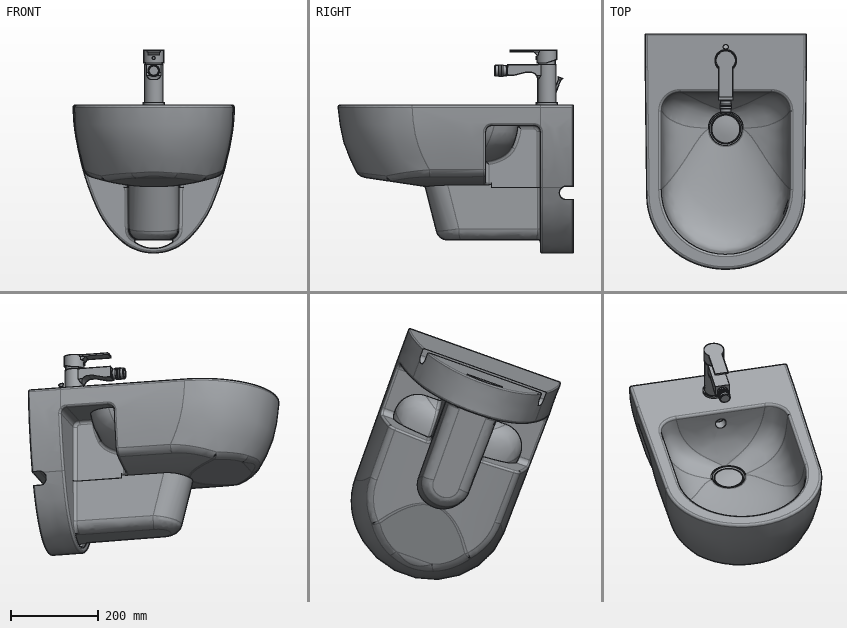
import cadquery as cq
import math


HALF_WIDTH = 184.58
REACH = 539.8
CUT_MARGIN = 20.0
RIM_Z = 339.6
SEAM_Z = 150.0
FRONT_LENGTH = 170.0
SIDE_TAPER = 0.982
BASIN_SECTIONS = [
    (RIM_Z, HALF_WIDTH, REACH),
    (290.0, 182.2, 535.7),
    (245.0, 174.8, 525.0),
    (200.0, 164.5, 505.0),
    (SEAM_Z, 149.0, 475.0),
]
RIM_FILLET = 6.0
WALL_EDGE_FILLET = 3.0

UNDERSIDE_Z = 152.0
UNDERSIDE_EDGE_Z = 182.0
UNDERSIDE_HALF_WIDTH = 165.0
UNDERSIDE_START = 188.0
SLOPE_START = 336.0
SLOPE_END = 470.0
SLOPE_END_Z = 172.0
TIP_CORNER = (510.0, 202.0)
TIP_BEND = (494.0, 181.0)
UNDERSIDE_FILLET = 24.0

FLANGE_DEPTH = 76.0
FLANGE_FILLET = 5.0
FLANGE_OUTLINE = [(122.5, 88.0), (83.0, 36.0), (56.0, 15.0)]
SEAM_LEAN = 0.377
WINDOW_HALF_WIDTH = 43.0
WINDOW_LOW_Z = 11.0
WINDOW_CORNER_Z = 25.0
NOTCH_Z = 138.0
NOTCH_HEIGHT = 30.0
NOTCH_DEPTH = 32.0

RECESS_END = 201.0
RECESS_TOP_Z = 292.0
RECESS_CORNER = 14.0
RECESS_INNER_FILLET = 8.0
RIM_INNER_HALF_WIDTH = 162.0
RIM_LOWEST_Z = 190.0
CORE_HALF_WIDTH = 60.0
PEDESTAL_BOTTOM_Z = 30.0
PEDESTAL_TOP_Z = 180.0
PEDESTAL_OVERLAP = 10.0
PEDESTAL_END_LENGTH = 53.0
PEDESTAL_TOP_REACH = 347.0
PEDESTAL_BOTTOM_REACH = 309.0
PEDESTAL_TAPER = 0.96
PEDESTAL_TOP_HALF_WIDTH = 60.0
PEDESTAL_BOTTOM_HALF_WIDTH = 58.0
PEDESTAL_FILLET = 26.0
PEDESTAL_ROOT_FILLET = 7.0

BOWL_SECTIONS = [
    (RIM_Z, 149.0, 133.0, 507.0, 150.0, 44.0),
    (300.0, 143.0, 136.0, 500.0, 148.0, 46.0),
    (265.0, 130.0, 144.0, 480.0, 142.0, 50.0),
    (240.0, 104.0, 157.0, 424.0, 120.0, 50.0),
    (225.0, 74.0, 168.0, 348.0, 90.0, 46.0),
    (212.0, 40.0, 178.0, 258.0, 40.0, 38.0),
]
BOWL_RIM_FILLET = 6.0
BOWL_WALL = 9.0
OVERFLOW_DIAMETER = 25.0
OVERFLOW_Z = 305.0
OVERFLOW_START = 150.0
OVERFLOW_LENGTH = 35.0

ZONE_MARGIN = 0.5

DRAIN_REACH = 218.0
DRAIN_FLOOR_Z = BOWL_SECTIONS[-1][0]
SEAT_RADIUS = 34.0
SEAT_MOUTH_RADIUS = 37.5
SEAT_CHAMFER = 3.0
SEAT_DEPTH = 10.0
PLUG_RADIUS = 32.0
PLUG_EDGE_HEIGHT = 8.0
PLUG_DOME = 3.0

TAP_REACH = 61.0
TAP_TOP_Z = 465.07
TAP_FOOT_RADIUS = 25.0
TAP_FOOT_HEIGHT = 5.0
TAP_BODY_RADIUS = 21.3
TAP_BODY_TOP_Z = 432.0
TAP_NECK_RADIUS = 19.5
CAP_RADIUS = 23.0
CAP_FRONT_Z = 436.0
CAP_REAR_Z = 443.5
LEVER_WIDTH = 31.0
LEVER_REACH = 145.0
LEVER_THICKNESS = 4.0
LEVER_ROOT_WIDTH = 26.0
LEVER_ROOT_SIZE = 7.0
BUTTON_RADIUS = 3.5
BUTTON_Z = 447.0
BUTTON_PROUD = 1.5
SPOUT_WIDTH = 33.0
SPOUT_REACH = 151.0
SPOUT_HEIGHT = 18.0
SPOUT_SIDE_HEIGHT = 12.0
SPOUT_BELLY_Z = 396.0
SPOUT_ROOT_RADIUS = 16.0
SPOUT_TIP_DROP = 7.0
SPOUT_TIP_LENGTH = 14.0
SPOUT_SWELL_LENGTH = 28.0
NOZZLE_Z = 417.8
NOZZLE_RINGS = [(8.0, 153.5), (12.0, 161.0), (13.3, 164.5), (12.6, 166.5), (13.3, 170.5), (12.0, 172.0),
                (12.6, 181.0)]
NOZZLE_CHAMFER = 2.0
KNOB_BASE = (40.0, 375.0)
KNOB_TOP = (30.0, 402.0)
ROD_RADIUS = 2.8
KNOB_RADIUS = 6.0
KNOB_LENGTH = 6.0
ROD_INSET = 6.0


def rounded_front(z, half_width, reach, end_length, taper, rear=0.0):
    """Plan outline: straight back, slightly tapering sides, half-ellipse front."""
    front_half = half_width * taper
    shoulder = reach - end_length
    return (
        cq.Workplane("XY", origin=(0, 0, z))
        .moveTo(half_width, -FLANGE_DEPTH)
        .lineTo(half_width, -rear)
        .lineTo(-half_width, -rear)
        .lineTo(-half_width, -FLANGE_DEPTH)
        .lineTo(-front_half, -shoulder)
        .ellipseArc(front_half, end_length, 180, 360, startAtCurrent=True)
        .close()
        .wires().val()
    )


def bowl_outline(z, half_width, rear, reach, end_length, corner):
    """Plan outline of the bowl: rounded rear corners and a half-ellipse front."""
    shoulder = reach - end_length
    diagonal = corner * (1 - math.sqrt(0.5))
    return (
        cq.Workplane("XY", origin=(0, 0, z))
        .moveTo(half_width - corner, -rear)
        .lineTo(corner - half_width, -rear)
        .threePointArc((diagonal - half_width, -rear - diagonal), (-half_width, -rear - corner))
        .lineTo(-half_width, -shoulder)
        .ellipseArc(half_width, end_length, 180, 360, startAtCurrent=True)
        .lineTo(half_width, -rear - corner)
        .threePointArc((half_width - diagonal, -rear - diagonal), (half_width - corner, -rear))
        .close()
        .wires().val()
    )


def loft(wires, ruled=False):
    return cq.Workplane(obj=cq.Solid.makeLoft(wires, ruled))


def box(x_size, start, end, low, high):
    """Block centred on X, between two reaches and two heights."""
    corner = cq.Vector(-x_size / 2, -end, low)
    return cq.Workplane(obj=cq.Solid.makeBox(x_size, end - start, high - low, corner))


def side_profile():
    """Workplane whose local axes are Y and Z, for shapes drawn from the side."""
    return cq.Workplane("YZ")


def edge_zone(half_width, start, end, low, high, whole=False):
    """Selector for edges centred in a block; with whole=True they must lie inside it completely."""
    near = (-half_width - ZONE_MARGIN, -end - ZONE_MARGIN, low - ZONE_MARGIN)
    far = (half_width + ZONE_MARGIN, -start + ZONE_MARGIN, high + ZONE_MARGIN)
    return cq.selectors.BoxSelector(near, far, boundingbox=whole)


def off_wall(edge):
    return edge.Center().y < -ZONE_MARGIN


def basin_body():
    wires = [
        rounded_front(z, half, reach, FRONT_LENGTH, SIDE_TAPER)
        for z, half, reach in BASIN_SECTIONS
    ]
    basin = loft(wires).faces(">Z").edges().filter(off_wall).fillet(RIM_FILLET)
    half_limit = HALF_WIDTH + CUT_MARGIN
    reach_limit = REACH + CUT_MARGIN
    below = SEAM_Z - CUT_MARGIN

    rising_front = (
        side_profile()
        .moveTo(-SLOPE_START, UNDERSIDE_Z)
        .lineTo(-SLOPE_END, SLOPE_END_Z)
        .threePointArc((-TIP_BEND[0], TIP_BEND[1]), (-TIP_CORNER[0], TIP_CORNER[1]))
        .lineTo(-reach_limit, TIP_CORNER[1])
        .lineTo(-reach_limit, below)
        .lineTo(-SLOPE_START, below)
        .close()
        .extrude(half_limit, both=True)
    )
    crosswise_arc = (
        cq.Workplane("XZ", origin=(0, -UNDERSIDE_START, 0))
        .moveTo(-UNDERSIDE_HALF_WIDTH, UNDERSIDE_EDGE_Z)
        .threePointArc((0, UNDERSIDE_Z), (UNDERSIDE_HALF_WIDTH, UNDERSIDE_EDGE_Z))
        .lineTo(UNDERSIDE_HALF_WIDTH, below)
        .lineTo(-UNDERSIDE_HALF_WIDTH, below)
        .close()
        .extrude(reach_limit)
    )
    basin = basin.cut(crosswise_arc).cut(rising_front)
    lower_edge = edge_zone(half_limit, RECESS_END, reach_limit, UNDERSIDE_Z, RIM_LOWEST_Z)
    return basin.edges(lower_edge).fillet(UNDERSIDE_FILLET)


def side_recesses():
    outer = 2 * (HALF_WIDTH + CUT_MARGIN)
    cutter = box(outer, FLANGE_DEPTH, RECESS_END, SEAM_Z - CUT_MARGIN, RECESS_TOP_Z)
    cutter = cutter.edges("|X and >Z").fillet(RECESS_CORNER)
    core = box(2 * CORE_HALF_WIDTH, 0, RECESS_END + CUT_MARGIN, 0, RIM_Z)
    cutter = cutter.cut(core).cut(bowl_shell())
    inner_edges = edge_zone(CORE_HALF_WIDTH, FLANGE_DEPTH, RECESS_END, SEAM_Z, RECESS_TOP_Z)
    return cutter.edges(inner_edges).fillet(RECESS_INNER_FILLET)


def bends_or_leaves_x(edge):
    """True unless the edge is a straight line along X."""
    along_x = math.isclose(abs(edge.tangentAt(0).x), 1, abs_tol=0.01)
    return edge.geomType() != "LINE" or not along_x


def round_recess_rims(body):
    """Round the front edge of the flange and the edges where the recesses open to the sides."""
    lower = edge_zone(CORE_HALF_WIDTH, FLANGE_DEPTH, FLANGE_DEPTH, 0, SEAM_Z / 2)
    upper = edge_zone(HALF_WIDTH, FLANGE_DEPTH, RECESS_END, RIM_LOWEST_Z, RECESS_TOP_Z)
    side_rims = body.edges(upper).filter(lambda edge: abs(edge.Center().x) > RIM_INNER_HALF_WIDTH)
    rims = body.edges(lower).add(side_rims).filter(bends_or_leaves_x)
    return rims.sort(lambda edge: edge.Center().x).fillet(FLANGE_FILLET)


def bowl_cavity():
    return loft([bowl_outline(*section) for section in BOWL_SECTIONS])


def bowl_shell():
    """Outside of the bowl wall, which bulges into the side recesses."""
    wires = [
        bowl_outline(z - BOWL_WALL, half + BOWL_WALL, rear - BOWL_WALL, reach + BOWL_WALL,
                     length + BOWL_WALL, corner + BOWL_WALL)
        for z, half, rear, reach, length, corner in BOWL_SECTIONS
    ]
    return loft(wires)


def lower_flange():
    seam_half = BASIN_SECTIONS[-1][1]
    right = [(0, 0)] + [(x, z) for x, z in reversed(FLANGE_OUTLINE)] + [(seam_half, SEAM_Z)]
    left = [(-x, z) for x, z in reversed(right)]
    return (
        cq.Workplane("XZ")
        .moveTo(-seam_half, SEAM_Z)
        .spline(left[1:] + right[1:], tangents=[(SEAM_LEAN, -1), (SEAM_LEAN, 1)], includeCurrent=True)
        .close()
        .extrude(FLANGE_DEPTH)
    )


def flange_window():
    return (
        cq.Workplane("XZ")
        .moveTo(-WINDOW_HALF_WIDTH, WINDOW_CORNER_Z)
        .threePointArc((0, WINDOW_LOW_Z), (WINDOW_HALF_WIDTH, WINDOW_CORNER_Z))
        .lineTo(WINDOW_HALF_WIDTH, PEDESTAL_BOTTOM_Z)
        .lineTo(-WINDOW_HALF_WIDTH, PEDESTAL_BOTTOM_Z)
        .close()
        .extrude(FLANGE_DEPTH + PEDESTAL_ROOT_FILLET)
    )


def wall_notch():
    """Round-ended notch across the whole width of the wall edge."""
    radius = NOTCH_HEIGHT / 2
    return (
        side_profile()
        .moveTo(0, NOTCH_Z + radius)
        .lineTo(radius - NOTCH_DEPTH, NOTCH_Z + radius)
        .threePointArc((-NOTCH_DEPTH, NOTCH_Z), (radius - NOTCH_DEPTH, NOTCH_Z - radius))
        .lineTo(0, NOTCH_Z - radius)
        .close()
        .extrude(HALF_WIDTH + CUT_MARGIN, both=True)
    )


def pedestal():
    start = FLANGE_DEPTH - PEDESTAL_OVERLAP
    wires = [
        rounded_front(z, half, reach, PEDESTAL_END_LENGTH, PEDESTAL_TAPER, start)
        for z, half, reach in (
            (PEDESTAL_BOTTOM_Z, PEDESTAL_BOTTOM_HALF_WIDTH, PEDESTAL_BOTTOM_REACH),
            (PEDESTAL_TOP_Z, PEDESTAL_TOP_HALF_WIDTH, PEDESTAL_TOP_REACH),
        )
    ]
    body = loft(wires, ruled=True)
    bottom_edges = body.faces("<Z").edges()
    return bottom_edges.filter(lambda edge: edge.Center().y < -FLANGE_DEPTH).fillet(PEDESTAL_FILLET)


def drain_seat():
    depth_z = DRAIN_FLOOR_Z - SEAT_DEPTH
    top_z = DRAIN_FLOOR_Z + CUT_MARGIN
    return (
        cq.Workplane("XZ", origin=(0, -DRAIN_REACH, 0))
        .moveTo(0, depth_z)
        .lineTo(SEAT_RADIUS, depth_z)
        .lineTo(SEAT_RADIUS, DRAIN_FLOOR_Z - SEAT_CHAMFER)
        .lineTo(SEAT_MOUTH_RADIUS, DRAIN_FLOOR_Z)
        .lineTo(SEAT_MOUTH_RADIUS, top_z)
        .lineTo(0, top_z)
        .close()
        .revolve(360, (0, 0, 0), (0, 1, 0))
    )


def overflow_hole():
    bore = cq.Workplane("XZ", origin=(0, -OVERFLOW_START, OVERFLOW_Z)).circle(OVERFLOW_DIAMETER / 2)
    return bore.extrude(-OVERFLOW_LENGTH)


def build_ceramic():
    body = basin_body()
    body = body.cut(side_recesses())
    body = body.union(lower_flange())
    body = round_recess_rims(body)
    body = body.union(pedestal())
    root_top = UNDERSIDE_Z + RECESS_INNER_FILLET
    root = edge_zone(PEDESTAL_TOP_HALF_WIDTH, FLANGE_DEPTH, FLANGE_DEPTH, 0, root_top, whole=True)
    body = body.edges(root).fillet(PEDESTAL_ROOT_FILLET)
    body = body.faces(">Y").edges().fillet(WALL_EDGE_FILLET)
    body = body.cut(bowl_cavity())
    _, mouth_half, mouth_rear, mouth_reach, _, _ = BOWL_SECTIONS[0]
    mouth = edge_zone(mouth_half, mouth_rear, mouth_reach, RIM_Z, RIM_Z)
    body = body.edges(mouth).fillet(BOWL_RIM_FILLET)
    body = body.cut(flange_window()).cut(wall_notch())
    body = body.cut(drain_seat()).cut(overflow_hole())
    return body


def build_plug():
    base_z = DRAIN_FLOOR_Z - SEAT_DEPTH
    edge_z = base_z + PLUG_EDGE_HEIGHT
    top_z = edge_z + PLUG_DOME
    sphere_radius = (PLUG_RADIUS**2 + PLUG_DOME**2) / (2 * PLUG_DOME)
    mid_x = PLUG_RADIUS / 2
    mid_z = top_z - sphere_radius + math.sqrt(sphere_radius**2 - mid_x**2)
    return (
        cq.Workplane("XZ", origin=(0, -DRAIN_REACH, 0))
        .moveTo(0, base_z)
        .lineTo(PLUG_RADIUS, base_z)
        .lineTo(PLUG_RADIUS, edge_z)
        .threePointArc((mid_x, mid_z), (0, top_z))
        .close()
        .revolve(360, (0, 0, 0), (0, 1, 0))
    )


def upright(radius, low, high):
    return cq.Workplane("XY", origin=(0, -TAP_REACH, low)).circle(radius).extrude(high - low)


def tap_cap():
    cap = upright(CAP_RADIUS, CAP_FRONT_Z, TAP_TOP_Z)
    rear = -TAP_REACH + CAP_RADIUS
    slant = (
        side_profile()
        .moveTo(-TAP_REACH, CAP_FRONT_Z)
        .lineTo(rear, CAP_FRONT_Z)
        .lineTo(rear, CAP_REAR_Z)
        .close()
        .extrude(CAP_RADIUS, both=True)
    )
    return cap.cut(slant)


def tap_lever():
    low = TAP_TOP_Z - LEVER_THICKNESS
    blade = box(LEVER_WIDTH, TAP_REACH, LEVER_REACH, low, TAP_TOP_Z)
    blade = blade.edges("|Z and <Y").fillet(LEVER_THICKNESS / 2)
    cap_front = -TAP_REACH - CAP_RADIUS
    wedge = (
        side_profile()
        .moveTo(-TAP_REACH, low)
        .lineTo(cap_front - LEVER_ROOT_SIZE, low)
        .lineTo(cap_front, low - LEVER_ROOT_SIZE)
        .lineTo(-TAP_REACH, low - LEVER_ROOT_SIZE)
        .close()
        .extrude(LEVER_ROOT_WIDTH / 2, both=True)
    )
    return blade.union(wedge)


def tap_spout():
    bottom = TAP_BODY_TOP_Z - SPOUT_HEIGHT
    root = -TAP_REACH - TAP_BODY_RADIUS
    tip = -SPOUT_REACH
    swell = tip + SPOUT_TIP_LENGTH
    tip_low = bottom - SPOUT_TIP_DROP
    bend = SPOUT_ROOT_RADIUS * (1 - math.sqrt(0.5))
    profile = (
        side_profile()
        .moveTo(-TAP_REACH, TAP_BODY_TOP_Z)
        .lineTo(tip, TAP_BODY_TOP_Z)
        .lineTo(tip, tip_low)
        .lineTo(swell, tip_low)
        .lineTo(swell + SPOUT_SWELL_LENGTH, bottom)
        .lineTo(root - SPOUT_ROOT_RADIUS, bottom)
        .threePointArc((root - bend, bottom - bend), (root, bottom - SPOUT_ROOT_RADIUS))
        .lineTo(-TAP_REACH, bottom - SPOUT_ROOT_RADIUS)
        .close()
        .extrude(SPOUT_WIDTH / 2, both=True)
    )
    half_width = SPOUT_WIDTH / 2
    side_low = TAP_BODY_TOP_Z - SPOUT_SIDE_HEIGHT
    rounded_section = (
        cq.Workplane("XZ", origin=(0, -TAP_REACH, 0))
        .moveTo(-half_width, TAP_BODY_TOP_Z)
        .lineTo(-half_width, side_low)
        .threePointArc((0, SPOUT_BELLY_Z), (half_width, side_low))
        .lineTo(half_width, TAP_BODY_TOP_Z)
        .close()
        .extrude(SPOUT_REACH - TAP_REACH)
    )
    return profile.intersect(rounded_section)


def tap_nozzle():
    rings = None
    start = SPOUT_REACH
    for radius, end in NOZZLE_RINGS:
        ring = cq.Workplane("XZ", origin=(0, -start, NOZZLE_Z)).circle(radius).extrude(end - start)
        rings = ring if rings is None else rings.union(ring)
        start = end
    return rings.faces("<Y").edges().chamfer(NOZZLE_CHAMFER)


def popup_knob():
    """Slanting lift rod with a wider grip, behind the tap body."""
    base = cq.Vector(0, -KNOB_BASE[0], KNOB_BASE[1])
    top = cq.Vector(0, -KNOB_TOP[0], KNOB_TOP[1])
    axis = (top - base).normalized()
    start = base - axis * ROD_INSET
    rod = cq.Solid.makeCylinder(ROD_RADIUS, (top - start).Length, start, axis)
    grip = cq.Solid.makeCone(ROD_RADIUS, KNOB_RADIUS, KNOB_LENGTH, top - axis * KNOB_LENGTH, axis)
    return cq.Workplane(obj=rod.fuse(grip))


def build_tap():
    tap = upright(TAP_FOOT_RADIUS, RIM_Z, RIM_Z + TAP_FOOT_HEIGHT)
    tap = tap.union(upright(TAP_BODY_RADIUS, RIM_Z, TAP_BODY_TOP_Z))
    tap = tap.union(upright(TAP_NECK_RADIUS, TAP_BODY_TOP_Z, CAP_REAR_Z))
    tap = tap.union(tap_cap())
    tap = tap.union(tap_lever())
    button_reach = TAP_REACH + CAP_RADIUS + BUTTON_PROUD
    button = cq.Workplane("XZ", origin=(0, -TAP_REACH, BUTTON_Z)).circle(BUTTON_RADIUS)
    tap = tap.union(button.extrude(button_reach - TAP_REACH))
    tap = tap.union(tap_spout())
    tap = tap.union(tap_nozzle())
    return tap.union(popup_knob())


ceramic = build_ceramic()
plug = build_plug()
tap = build_tap()

result = cq.Compound.makeCompound([ceramic.val(), plug.val(), tap.val()])